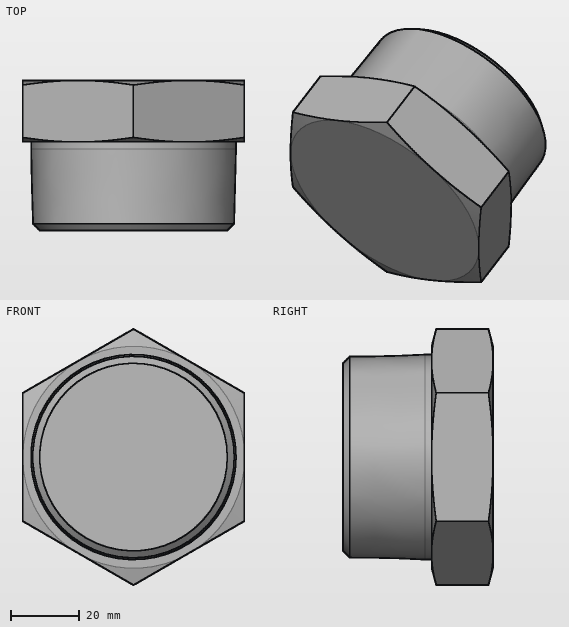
import cadquery as cq
import math

corner_diameter = 75.05
half_side_angle = 30.0
flat_width = corner_diameter * math.cos(math.radians(half_side_angle))
total_length = 44.0
head_length = 18.0
head_chamfer_angle = 15.0

collar_diameter = 60.1
collar_length = 2.0
shank_end_diameter = 59.0
end_face_diameter = 54.95
end_chamfer_length = 2.0


def revolve_about_y(points):
    """Revolve an outline of (radius, distance along Y) points about the Y axis."""
    return cq.Workplane("XY").polyline(points).close().revolve(360, (0, 0, 0), (0, 1, 0))


def hexagon_head():
    """Hexagon with corners on +Z and -Z, turned conical at both ends."""
    hexagon = (
        cq.Workplane("XZ")
        .polygon(6, corner_diameter)
        .extrude(-head_length)
        .rotate((0, 0, 0), (0, 1, 0), half_side_angle)
    )
    flat_radius = flat_width / 2
    corner_radius = corner_diameter / 2
    corner_drop = (corner_radius - flat_radius) * math.tan(math.radians(head_chamfer_angle))
    turned_blank = revolve_about_y([
        (0, 0),
        (flat_radius, 0),
        (corner_radius, corner_drop),
        (corner_radius, head_length - corner_drop),
        (flat_radius, head_length),
        (0, head_length),
    ])
    return hexagon.intersect(turned_blank)


def tapered_shank():
    """Short cylindrical collar, slight taper and a chamfered end."""
    shank_length = total_length - head_length
    return revolve_about_y([
        (0, 0),
        (collar_diameter / 2, 0),
        (collar_diameter / 2, -collar_length),
        (shank_end_diameter / 2, end_chamfer_length - shank_length),
        (end_face_diameter / 2, -shank_length),
        (0, -shank_length),
    ])


result = hexagon_head().union(tapered_shank())